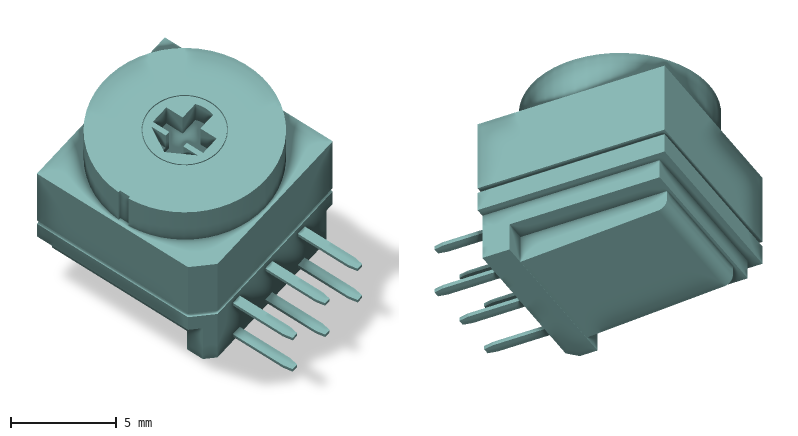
import cadquery as cq
import math


body_side = 10.0
corner_chamfer = 1.0
base_side_step = 0.5
base_end_step = 0.53
seam_inset = 0.3
wedge_top = 1.48
step_top = 2.5
flange_top = 3.52
seam_top = 3.8
body_top = 7.59
total_height = 9.8

foot_length = 1.45
wedge_width = 6.75
wedge_setback = 0.73
wedge_end_height = 0.53
wedge_foot_height = 0.01
wedge_radius = 0.5

dial_diameter = 9.6
mark_width = 0.6
mark_depth = 0.14
ring_outer_diameter = 4.1
ring_inner_diameter = 4.0
ring_depth = 0.1

slot_width = 1.05
slot_length = 3.0
slot_depth = 1.3
slot_reach = 1.6
arrow_base_y = -0.8
arrow_half_width = 1.39
arrow_depth = 1.0

overall_length = 13.5
pin_pitch = 2.54
pin_width = 0.54
pin_thickness = 0.2
pin_tip_width = 0.35
pin_tip_length = 0.5
pin_bottom = 0.36

half_side = body_side / 2


def corner_profile(bottom):
    """Square with the +X -Y corner cut off, drawn at the given height."""
    return (
        cq.Workplane("XY", origin=(0, 0, bottom))
        .moveTo(-half_side, -half_side)
        .lineTo(half_side - corner_chamfer, -half_side)
        .lineTo(half_side, -half_side + corner_chamfer)
        .lineTo(half_side, half_side)
        .lineTo(-half_side, half_side)
        .close()
    )


def corner_block(bottom, top):
    return corner_profile(bottom).extrude(top - bottom)


def make_housing():
    flange = corner_block(step_top, flange_top)
    seam = corner_profile(flange_top).offset2D(-seam_inset).extrude(seam_top - flange_top)
    body = corner_block(seam_top, body_top)
    return flange.union(seam).union(body)


def make_base():
    """Lower base and foot, set back on three sides and flush with the chamfered +X end."""
    foot_x = half_side - foot_length
    outline = (
        cq.Workplane("XZ", origin=(0, half_side - base_side_step, 0))
        .moveTo(-half_side + base_end_step, step_top)
        .lineTo(half_side, step_top)
        .lineTo(half_side, 0)
        .lineTo(foot_x, 0)
        .lineTo(foot_x, wedge_top)
        .lineTo(-half_side + base_end_step, wedge_top)
        .close()
        .extrude(body_side - 2 * base_side_step)
    )
    return outline.intersect(corner_block(0, step_top))


def make_wedge():
    end_x = -half_side + wedge_setback
    foot_x = half_side - foot_length
    wedge = (
        cq.Workplane("XZ", origin=(0, wedge_width / 2, 0))
        .moveTo(end_x, wedge_top)
        .lineTo(foot_x, wedge_top)
        .lineTo(foot_x, wedge_foot_height)
        .lineTo(end_x, wedge_end_height)
        .close()
        .extrude(wedge_width)
    )
    return wedge.edges("|Y").edges("<X").edges("<Z").fillet(wedge_radius)


def make_dial():
    height = total_height - body_top
    dial = cq.Workplane("XY", origin=(0, 0, body_top)).circle(dial_diameter / 2).extrude(height)
    mark = (
        cq.Workplane("XY", origin=(0, -dial_diameter / 2, body_top))
        .rect(mark_width, 2 * mark_depth)
        .extrude(height)
    )
    ring = (
        cq.Workplane("XY", origin=(0, 0, total_height))
        .circle(ring_outer_diameter / 2)
        .circle(ring_inner_diameter / 2)
        .extrude(-ring_depth)
    )
    return dial.cut(mark).cut(ring)


def make_screwdriver_recess():
    """Cross slot whose -Y arm ends in the tip of a shallower arrow head."""
    top = cq.Workplane("XY", origin=(0, 0, total_height))
    half_slot = slot_width / 2
    arm_end_y = math.sqrt(slot_reach**2 - half_slot**2)
    tip_slope = (slot_reach + arrow_base_y) / arrow_half_width
    arm_foot_y = -slot_reach + tip_slope * half_slot

    cross_bar = top.rect(slot_length, slot_width).extrude(-slot_depth)
    long_arm = (
        top.moveTo(-half_slot, arm_end_y)
        .threePointArc((0, slot_reach), (half_slot, arm_end_y))
        .lineTo(half_slot, arm_foot_y)
        .lineTo(0, -slot_reach)
        .lineTo(-half_slot, arm_foot_y)
        .close()
        .extrude(-slot_depth)
    )
    arrow_head = (
        top.moveTo(-arrow_half_width, arrow_base_y)
        .lineTo(arrow_half_width, arrow_base_y)
        .lineTo(0, -slot_reach)
        .close()
        .extrude(-arrow_depth)
    )
    return cross_bar.union(long_arm).union(arrow_head)


def make_pin(y, bottom):
    """Flat pin along +X with a tapered tip, starting at the flat +X end face."""
    tip_x = overall_length - half_side
    shoulder_x = tip_x - pin_tip_length
    return (
        cq.Workplane("XY", origin=(0, y, bottom))
        .moveTo(half_side, -pin_width / 2)
        .lineTo(shoulder_x, -pin_width / 2)
        .lineTo(tip_x, -pin_tip_width / 2)
        .lineTo(tip_x, pin_tip_width / 2)
        .lineTo(shoulder_x, pin_width / 2)
        .lineTo(half_side, pin_width / 2)
        .close()
        .extrude(pin_thickness)
    )


result = make_housing().union(make_base()).union(make_wedge()).union(make_dial())
result = result.cut(make_screwdriver_recess())
for column in (-1, 0, 1):
    for row in (0, 1):
        result = result.union(make_pin(column * pin_pitch, pin_bottom + row * pin_pitch))